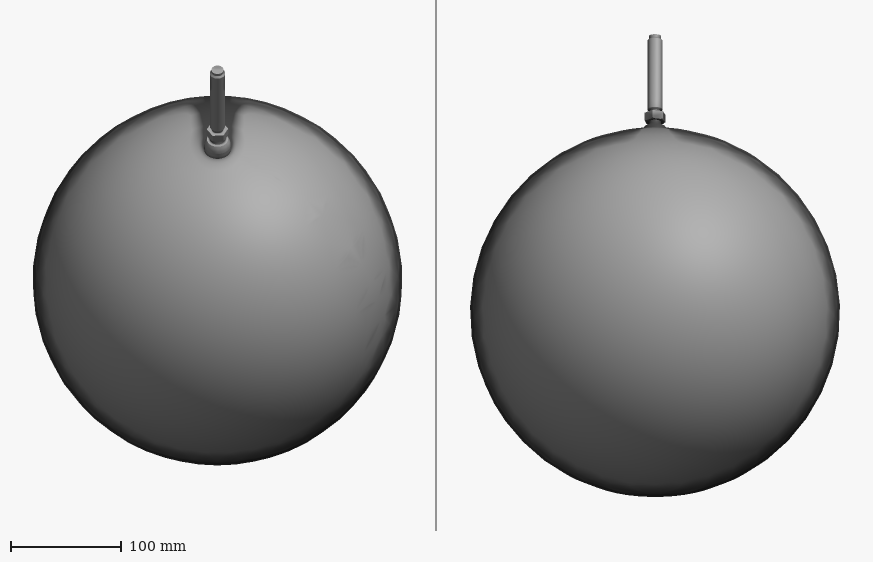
import cadquery as cq
import math

ball_diameter = 334.0
ball_radius = ball_diameter / 2
total_height = 435.0

boss_diameter = 24.0
boss_top_diameter = 19.0
boss_top_z = 347.0
boss_shoulder_z = 340.0
boss_root_depth = 8.5

collar_diameter = 13.5
core_diameter = 11.0
collar_height = 4.0

nut_bottom_z = 352.0
nut_height = 8.0
nut_across_corners = 19.5
nut_chamfer = 1.0

rod_diameter = 14.0
rod_bottom_z = 362.0
rod_top_z = 432.5
rod_chamfer = 1.7


def cylinder(diameter, bottom_z, top_z):
    """Vertical cylinder on the Z axis."""
    return cq.Workplane("XY").workplane(offset=bottom_z).circle(diameter / 2).extrude(top_z - bottom_z)


def make_ball():
    return cq.Workplane("XY").sphere(ball_radius).translate((0, 0, ball_radius))


def make_boss():
    """Straight-sided boss whose rounded shoulder starts tangent to its side."""
    side_radius = boss_diameter / 2
    top_radius = boss_top_diameter / 2
    root_z = ball_diameter - boss_root_depth
    round_height = boss_top_z - boss_shoulder_z
    inset = side_radius - top_radius
    arc_radius = (inset**2 + round_height**2) / (2 * inset)
    half_angle = math.asin(round_height / arc_radius) / 2
    arc_middle = (
        side_radius - arc_radius * (1 - math.cos(half_angle)),
        boss_shoulder_z + arc_radius * math.sin(half_angle),
    )
    return (
        cq.Workplane("XZ")
        .moveTo(0, root_z)
        .lineTo(side_radius, root_z)
        .lineTo(side_radius, boss_shoulder_z)
        .threePointArc(arc_middle, (top_radius, boss_top_z))
        .lineTo(0, boss_top_z)
        .close()
        .revolve(360, (0, 0, 0), (0, 1, 0))
    )


def make_spindle():
    """Collar tapering to the core, which runs up through the nut and the rod."""
    collar = (
        cq.Workplane("XY")
        .workplane(offset=boss_top_z)
        .circle(collar_diameter / 2)
        .workplane(offset=collar_height)
        .circle(core_diameter / 2)
        .loft()
    )
    return collar.union(cylinder(core_diameter, boss_top_z, total_height))


def make_nut():
    """Hexagon trimmed by a cylinder whose chamfered lower end bevels the corners."""
    hexagon = (
        cq.Workplane("XY")
        .workplane(offset=nut_bottom_z)
        .polygon(6, nut_across_corners)
        .extrude(nut_height)
        .rotate((0, 0, 0), (0, 0, 1), 90)
    )
    trim = cylinder(nut_across_corners, nut_bottom_z, nut_bottom_z + nut_height)
    return hexagon.intersect(trim.faces("<Z").edges().chamfer(nut_chamfer))


def make_rod():
    return cylinder(rod_diameter, rod_bottom_z, rod_top_z).edges("%CIRCLE").chamfer(rod_chamfer)


result = (
    make_ball()
    .union(make_boss())
    .union(make_spindle())
    .union(make_nut())
    .union(make_rod())
)